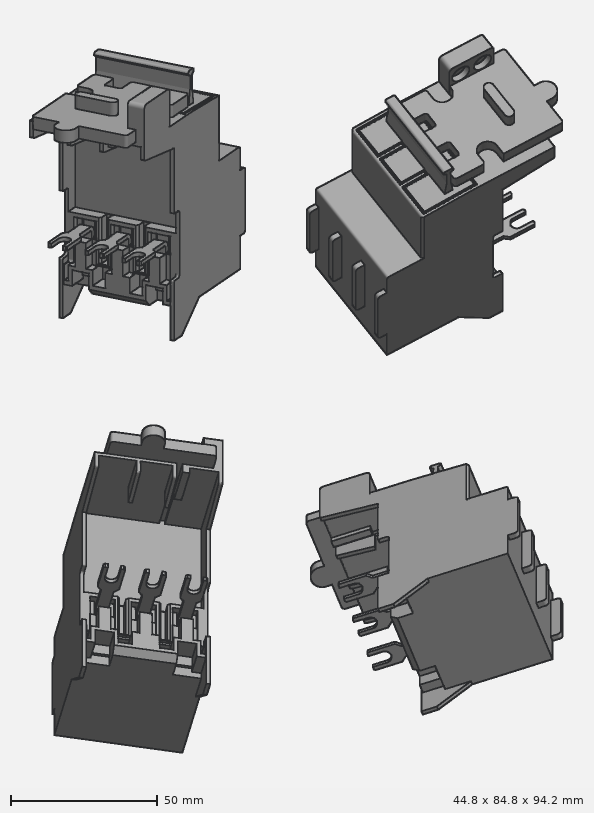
import cadquery as cq


width = 44.8
half_width = width / 2
wall = 1.4
inner_half = half_width - wall
housing_back_y = 47.3
housing_bottom_z = 9.9
shoulder_z = 55.1
upper_back_y = 33.0
upper_back_z = 79.2
top_z = 80.0
top_slope_start_y = 11.8
overhang_y = -21.2
overhang_tip_z = 73.7
overhang_root_z = 71.0
edge_round = 0.9
back_chamfer = 0.85
wing_tip_y = 5.7
wing_root_y = 18.1

recess_y = 4.0
recess_bottom_z = 22.1
recess_top_z = 46.75
panel_y = 8.7
ceiling_z = top_z - wall

foot_back_y = 51.0
foot_bottom_z = 22.15
foot_top_z = 46.4
outer_foot_width = 2.0
inner_foot_width = 2.3
inner_foot_x = 7.3
foot_round = 1.3

pitch = 14.4
terminal_centers = (-pitch, 0, pitch)
terminal_top_z = 38.0
groove_x = 7.3
groove_width = 4.0
groove_bottom_z = 21.0
groove_back_y = panel_y - 0.4
groove_chamfer = 0.85
opening_width = 8.8
opening_top_z = 36.4
opening_depth = 1.0
sleeve_depth = 2.4
core_width = 4.9
core_depth = 3.3
post_width = 4.2
post_top_z = 29.2

block_y = 0.6
block_top_z = 19.7
block_lip_z = 12.3
block_round = 0.9
pocket_floor_z = 13.95
pocket_width = 4.9
end_pocket_inner_x = 19.2
end_pocket_outer_x = 20.7
notch_inner_x = 11.1
notch_outer_x = 17.7
notch_top_z = 18.2
undercut_y = 7.7
undercut_back_y = panel_y

lug_bottom_z = 32.4
lug_top_z = 34.0
lug_tip_y = -16.1
lug_width = 7.5
lug_stem_width = 4.3
lug_flare_start_y = -4.05
lug_flare_end_y = -5.8
fork_radius = 2.3
fork_center_y = -10.8
prong_chamfer = 0.5
lug_bend_radius = 0.85
lug_leg_y = 4.7

plate_left_x = -18.1
plate_right_x = 19.0
plate_back_y = 16.9
plate_front_y = -27.6
plate_top_z = 84.6
plate_round = 1.1
plate_slots = ((-10.2, -3.5), (4.4, 10.8))
plate_slot_end_y = 9.6
bite_radius = 3.8
bite_center_y = 0.7
left_bite_x = -13.95
right_bite_x = 14.8
tab_x = -3.6
tab_radius = 4.0
tab_center_y = -29.8
rib_length = 16.3
rib_width = 3.7
rib_x = -1.1
rib_y = -12.25
rib_top_z = 89.6

button_left_x = 15.8
button_back_y = -3.0
button_top_z = 94.25
button_round = 1.6
button_holes_y = (-7.7, -16.6)
button_hole_z = 88.4
button_hole_radius = 3.5
button_hole_depth = 2.5

rail_half_length = 18.4
rail_y = 19.5
rail_top_z = 92.5
rail_head_half = 2.1
rail_head_edge_z = 91.4
rail_neck_half = 0.8
rail_neck_top_z = 90.4
rail_neck_bottom_z = 85.4
rail_foot_half = 1.6
rail_head_round = 0.9

joint_width = 0.7
joint_depth = 0.6
joint_half_x = 21.2
joint_front_y = 9.7
joint_back_y = 31.5
bridge_x = 7.1
bridge_width = 1.1
bridge_front_y = 21.8
cover_bottom_z = ceiling_z - wall

overhang_ribs_x = (-7.1, 5.7)
overhang_rib_end_y = -7.1
overhang_slot_x = 6.3
stop_left_x = 8.3
stop_right_x = 10.8
stop_bottom_z = 76.25

search_reach = 0.1


def box(x0, x1, y0, y1, z0, z1):
    return cq.Workplane("XY").box(x1 - x0, y1 - y0, z1 - z0, centered=False).translate((x0, y0, z0))


def side_profile(points, x0, x1):
    """Extrude a (Y, Z) outline from x0 to x1."""
    return cq.Workplane("YZ").workplane(offset=x0).polyline(points).close().extrude(x1 - x0)


def round_x_edge(body, y, z, radius):
    """Round the edges along X that pass through (y, z)."""
    corner = cq.selectors.BoxSelector(
        (-width, y - search_reach, z - search_reach), (width, y + search_reach, z + search_reach))
    return body.edges("|X").edges(corner).fillet(radius)


def make_housing():
    outline = [
        (0, 0), (wing_tip_y, 0), (wing_root_y, housing_bottom_z),
        (housing_back_y, housing_bottom_z), (housing_back_y, shoulder_z),
        (upper_back_y, shoulder_z), (upper_back_y, upper_back_z),
        (top_slope_start_y, top_z), (overhang_y, top_z), (overhang_y, overhang_tip_z),
        (0, overhang_root_z), (0, recess_top_z), (recess_y, recess_top_z),
        (recess_y, recess_bottom_z), (0, recess_bottom_z),
    ]
    body = side_profile(outline, -half_width, half_width)
    for y, z in [
        (housing_back_y, shoulder_z), (overhang_y, overhang_tip_z),
        (recess_y, recess_top_z), (recess_y, recess_bottom_z),
    ]:
        body = round_x_edge(body, y, z, edge_round)
    for z in (recess_top_z, recess_bottom_z):
        body = round_x_edge(body, 0, z, edge_round / 2)
    upper_back = cq.selectors.BoxSelector(
        (-width, upper_back_y - search_reach, shoulder_z), (width, upper_back_y + search_reach, top_z))
    body = body.edges("|Z").edges(upper_back).chamfer(back_chamfer)
    body = round_x_edge(body, upper_back_y, upper_back_z, edge_round)
    body = body.cut(box(overhang_slot_x, stop_left_x, overhang_y, panel_y, ceiling_z, top_z))
    body = body.cut(box(-inner_half, inner_half, overhang_y, panel_y, 0, ceiling_z))
    return body.cut(box(-inner_half, inner_half, 0, housing_back_y, 0, housing_bottom_z))


def make_feet():
    outer_x = half_width - outer_foot_width / 2
    feet = cq.Workplane("XY")
    for x, foot_width in [
        (-outer_x, outer_foot_width), (-inner_foot_x, inner_foot_width),
        (inner_foot_x, inner_foot_width), (outer_x, outer_foot_width),
    ]:
        foot = box(x - foot_width / 2, x + foot_width / 2,
                   housing_back_y, foot_back_y, foot_bottom_z, foot_top_z)
        feet = feet.add(foot.edges("|X and >Y").fillet(foot_round))
    return feet.combine()


def make_overhang_ribs():
    slope = (overhang_tip_z - overhang_root_z) / overhang_y
    rib_end_z = overhang_root_z + slope * overhang_rib_end_y
    outline = [
        (overhang_y, overhang_tip_z), (overhang_rib_end_y, rib_end_z),
        (overhang_rib_end_y, top_z), (overhang_y, top_z),
    ]
    ribs = box(stop_left_x, stop_right_x, overhang_y, overhang_rib_end_y, stop_bottom_z, top_z)
    for x in overhang_ribs_x:
        rib = side_profile(outline, x - wall / 2, x + wall / 2)
        ribs = ribs.union(round_x_edge(rib, overhang_y, overhang_tip_z, edge_round))
    return ribs


def make_terminals():
    """Terminal frames standing on the lower block, with their openings and posts."""
    body = box(-inner_half, inner_half, recess_y, panel_y, housing_bottom_z, terminal_top_z)

    for x in (-groove_x, groove_x):
        mouth = groove_width / 2
        throat = mouth - groove_chamfer
        groove = (
            cq.Workplane("XY").workplane(offset=groove_bottom_z)
            .polyline([
                (x - mouth, recess_y), (x + mouth, recess_y),
                (x + throat, recess_y + groove_chamfer), (x + throat, groove_back_y),
                (x - throat, groove_back_y), (x - throat, recess_y + groove_chamfer),
            ])
            .close().extrude(terminal_top_z - groove_bottom_z)
        )
        body = body.cut(groove)

    lip_run = block_lip_z - housing_bottom_z
    block = (
        cq.Workplane("YZ").workplane(offset=-inner_half)
        .moveTo(block_y, block_lip_z)
        .lineTo(block_y, block_top_z)
        .lineTo(recess_y - block_round, block_top_z)
        .radiusArc((recess_y, block_top_z + block_round), -block_round)
        .lineTo(panel_y, block_top_z + block_round)
        .lineTo(panel_y, housing_bottom_z)
        .lineTo(block_y + lip_run, housing_bottom_z)
        .close().extrude(2 * inner_half)
    )
    body = body.union(block)

    for x in terminal_centers:
        for step_width, step_depth, step_bottom_z in [
            (opening_width, opening_depth, block_top_z),
            (opening_width, sleeve_depth, post_top_z),
            (core_width, core_depth, post_top_z),
        ]:
            half = step_width / 2
            body = body.cut(box(x - half, x + half, block_y, recess_y + step_depth,
                                step_bottom_z, opening_top_z))
        half = post_width / 2
        body = body.union(box(x - half, x + half, block_y, recess_y + core_depth,
                              block_top_z, post_top_z))

    half = pocket_width / 2
    for x0, x1 in [
        (-end_pocket_outer_x, -end_pocket_inner_x), (-groove_x - half, -groove_x + half),
        (groove_x - half, groove_x + half), (end_pocket_inner_x, end_pocket_outer_x),
    ]:
        body = body.cut(box(x0, x1, block_y, undercut_y, pocket_floor_z, block_top_z))
    for x in (-groove_x, groove_x):
        body = body.cut(box(x - half, x + half, block_y, recess_y + opening_depth,
                            block_top_z, block_top_z + block_round))

    for inner_x, outer_x, wall_x in [
        (-notch_inner_x, -notch_outer_x, -inner_half), (notch_inner_x, notch_outer_x, inner_half),
    ]:
        low, high = sorted((inner_x, outer_x))
        body = body.cut(box(low, high, block_y, undercut_y, housing_bottom_z, notch_top_z))
        body = body.cut(box(low, high, block_y, undercut_back_y, housing_bottom_z, pocket_floor_z))
        low, high = sorted((outer_x, wall_x))
        body = body.cut(box(low, high, block_y, undercut_back_y, housing_bottom_z, block_lip_z))
    return body


def make_lug(x):
    """Fork lug reaching forward out of a terminal, its root bent down onto the post."""
    stem = lug_stem_width / 2
    head = lug_width / 2
    root_y = lug_leg_y - lug_bend_radius
    thickness = lug_top_z - lug_bottom_z
    lug = (
        cq.Workplane("XY").workplane(offset=lug_bottom_z)
        .moveTo(-stem, root_y)
        .lineTo(-stem, lug_flare_start_y)
        .lineTo(-head, lug_flare_end_y)
        .lineTo(-head, lug_tip_y + prong_chamfer)
        .lineTo(-head + prong_chamfer, lug_tip_y)
        .lineTo(-fork_radius, lug_tip_y)
        .lineTo(-fork_radius, fork_center_y)
        .threePointArc((0, fork_center_y + fork_radius), (fork_radius, fork_center_y))
        .lineTo(fork_radius, lug_tip_y)
        .lineTo(head - prong_chamfer, lug_tip_y)
        .lineTo(head, lug_tip_y + prong_chamfer)
        .lineTo(head, lug_flare_end_y)
        .lineTo(stem, lug_flare_start_y)
        .lineTo(stem, root_y)
        .close().extrude(thickness)
    )
    outer_radius = lug_bend_radius + thickness
    bend_z = lug_bottom_z - lug_bend_radius
    leg = (
        cq.Workplane("YZ").workplane(offset=-stem)
        .moveTo(root_y, lug_top_z)
        .radiusArc((root_y + outer_radius, bend_z), outer_radius)
        .lineTo(root_y + outer_radius, post_top_z)
        .lineTo(lug_leg_y, post_top_z)
        .lineTo(lug_leg_y, bend_z)
        .radiusArc((root_y, lug_bottom_z), -lug_bend_radius)
        .close().extrude(lug_stem_width)
    )
    return lug.union(leg).translate((x, 0, 0))


def make_plate():
    plate = box(plate_left_x, plate_right_x, plate_front_y, plate_back_y, top_z, plate_top_z)
    for x0, x1 in plate_slots:
        slot = box(x0, x1, plate_slot_end_y, plate_back_y, top_z, plate_top_z)
        plate = plate.cut(slot.edges("|Z and <Y").fillet(edge_round))
    plate = plate.edges("|Z and (>Y or <Y)").fillet(plate_round)

    thickness = plate_top_z - top_z
    for center_x, edge_x in [(left_bite_x, plate_left_x), (right_bite_x, plate_right_x)]:
        low, high = sorted((center_x, edge_x))
        bite = box(low, high, bite_center_y - bite_radius, bite_center_y + bite_radius, top_z, plate_top_z)
        bite = bite.union(
            cq.Workplane("XY").workplane(offset=top_z)
            .center(center_x, bite_center_y).circle(bite_radius).extrude(thickness))
        plate = plate.cut(bite)
        corner_y = bite_center_y + bite_radius
        corner = cq.selectors.BoxSelector(
            (edge_x - search_reach, corner_y - search_reach, top_z - search_reach),
            (edge_x + search_reach, corner_y + search_reach, plate_top_z + search_reach))
        plate = plate.edges("|Z").edges(corner).fillet(plate_round)

    tab = box(tab_x - tab_radius, tab_x + tab_radius, tab_center_y, plate_front_y, top_z, plate_top_z)
    tab = tab.union(
        cq.Workplane("XY").workplane(offset=top_z)
        .center(tab_x, tab_center_y).circle(tab_radius).extrude(thickness))
    rib = (
        cq.Workplane("XY").workplane(offset=plate_top_z)
        .center(rib_x, rib_y).slot2D(rib_length, rib_width).extrude(rib_top_z - plate_top_z)
    )
    return plate.union(tab).union(rib)


def make_button_block():
    block = box(button_left_x, half_width, overhang_y, button_back_y, ceiling_z, button_top_z)
    return block.edges("|X and >Z").fillet(button_round)


def make_button_holes():
    return (
        cq.Workplane("YZ").workplane(offset=button_left_x)
        .pushPoints([(y, button_hole_z) for y in button_holes_y])
        .circle(button_hole_radius).extrude(button_hole_depth)
    )


def make_rail():
    right_side = [
        (rail_foot_half, upper_back_z), (rail_foot_half, top_z), (rail_neck_half, rail_neck_bottom_z),
        (rail_neck_half, rail_neck_top_z), (rail_head_half, rail_head_edge_z),
        (rail_head_half, rail_top_z),
    ]
    left_side = [(-y, z) for y, z in reversed(right_side)]
    outline = [(rail_y + y, z) for y, z in right_side + left_side]
    rail = side_profile(outline, -rail_half_length, rail_half_length)
    return rail.edges("|X and >Z").fillet(rail_head_round)


def cover_shape(inset):
    """Outline of the top cover with two bridges cut into its back, shrunk by inset."""
    half_x = joint_half_x - inset
    cover = box(-half_x, half_x, joint_front_y + inset, joint_back_y - inset, cover_bottom_z, top_z)
    bridge_half = bridge_width / 2 + inset
    for x in (-bridge_x, bridge_x):
        cover = cover.cut(box(x - bridge_half, x + bridge_half, bridge_front_y - inset, joint_back_y,
                              cover_bottom_z, top_z))
    return cover


def make_joint():
    """Shallow groove around the cover, following the sloping top."""
    rise = (top_z - upper_back_z) / (upper_back_y - top_slope_start_y)
    back_z = top_z - rise * (joint_back_y - top_slope_start_y)
    layer = side_profile(
        [(joint_front_y, top_z), (top_slope_start_y, top_z), (joint_back_y, back_z),
         (joint_back_y, back_z - joint_depth), (top_slope_start_y, top_z - joint_depth),
         (joint_front_y, top_z - joint_depth)],
        -joint_half_x, joint_half_x)
    return cover_shape(0).cut(cover_shape(joint_width)).intersect(layer)


result = make_housing().cut(make_joint())
for feature in (make_feet(), make_overhang_ribs(), make_terminals(), make_plate(),
                make_button_block(), make_rail()):
    result = result.union(feature)
for terminal_x in terminal_centers:
    result = result.union(make_lug(terminal_x))
result = result.cut(make_button_holes())